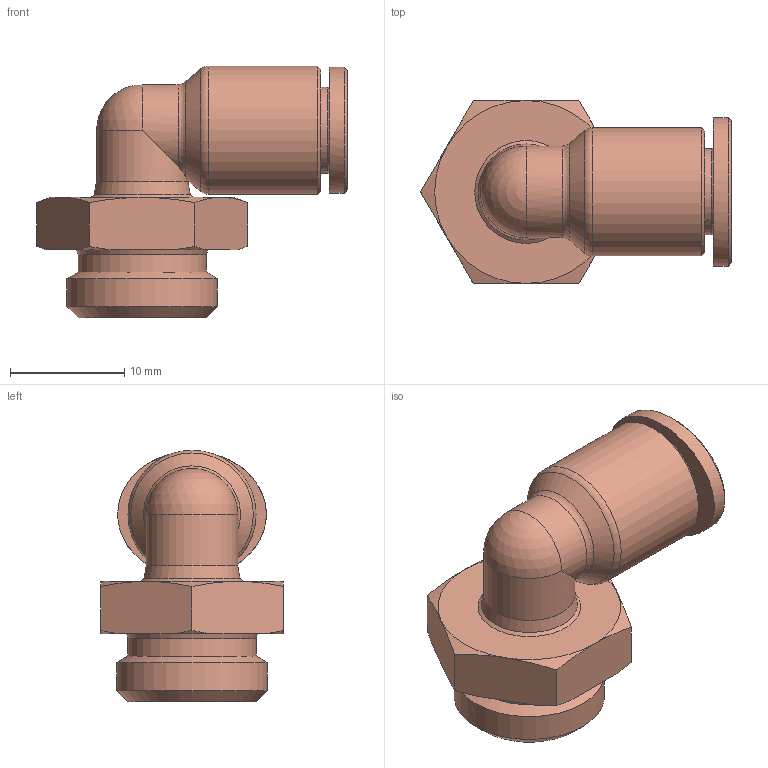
import cadquery as cq
import math

thread_radius = 6.58
lead_chamfer = 0.98
thread_top_z = 3.42
neck_radius = 5.6
neck_bottom_z = 4.0
neck_flare_z = 5.53
neck_flare_radius = 5.77

hex_bottom_z = 5.95
hex_top_z = 10.53
hex_across_flats = 16.0
hex_corner_radius = hex_across_flats / 2 / math.cos(math.radians(30))
hex_top_circle_radius = hex_across_flats / 2
hex_bottom_circle_radius = 8.45
hex_chamfer_angle = math.radians(20)
envelope_margin = 1.0

overall_height = 22.0
body_radius = 5.6
elbow_radius = 4.0
arm_axis_z = overall_height - body_radius
stem_cone_top_z = 11.9
stem_cone_bottom_z = 10.76
stem_cone_radius = 4.2
stem_foot_radius = 4.5

shoulder_start_x = 3.5
shoulder_angle = math.radians(40)
shoulder_end_x = shoulder_start_x + (body_radius - elbow_radius) / math.tan(shoulder_angle)
shoulder_fillet = 1.0
body_end_x = 15.6
body_end_chamfer = 0.28

overall_length = 27.19
ring_end_x = overall_length - hex_corner_radius
ring_start_x = 16.38
ring_half_width = 6.5
ring_half_height = 5.5
ring_chamfer = 0.28
collar_radius = 3.77
collar_flare_start_x = 16.22
collar_flare_radius = 3.86


def make_threaded_end():
    """Thread blank with a lead-in chamfer, a narrower neck and a flare under the nut."""
    profile = (
        cq.Workplane("XZ")
        .lineTo(thread_radius - lead_chamfer, 0)
        .lineTo(thread_radius, lead_chamfer)
        .lineTo(thread_radius, thread_top_z)
        .lineTo(neck_radius, neck_bottom_z)
        .lineTo(neck_radius, neck_flare_z)
        .lineTo(neck_flare_radius, hex_bottom_z)
        .lineTo(0, hex_bottom_z)
        .close()
    )
    return profile.revolve(360, (0, 0), (0, 1))


def make_hex_nut():
    """Hexagon with its corners trimmed by a cone at the top and at the bottom."""
    height = hex_top_z - hex_bottom_z
    hexagon = (
        cq.Workplane("XY")
        .workplane(offset=hex_bottom_z)
        .polygon(6, 2 * hex_corner_radius)
        .extrude(height)
    )
    envelope_radius = hex_corner_radius + envelope_margin
    slope = math.tan(hex_chamfer_angle)
    bottom_rise = (envelope_radius - hex_bottom_circle_radius) * slope
    top_drop = (envelope_radius - hex_top_circle_radius) * slope
    envelope = (
        cq.Workplane("XZ")
        .moveTo(0, hex_bottom_z)
        .lineTo(hex_bottom_circle_radius, hex_bottom_z)
        .lineTo(envelope_radius, hex_bottom_z + bottom_rise)
        .lineTo(envelope_radius, hex_top_z - top_drop)
        .lineTo(hex_top_circle_radius, hex_top_z)
        .lineTo(0, hex_top_z)
        .close()
        .revolve(360, (0, 0), (0, 1))
    )
    return hexagon.intersect(envelope)


def make_stem():
    """Vertical stem that widens to a flared foot on the nut."""
    profile = (
        cq.Workplane("XZ")
        .moveTo(0, hex_top_z)
        .lineTo(stem_foot_radius, hex_top_z)
        .lineTo(stem_cone_radius, stem_cone_bottom_z)
        .lineTo(elbow_radius, stem_cone_top_z)
        .lineTo(elbow_radius, arm_axis_z)
        .lineTo(0, arm_axis_z)
        .close()
    )
    return profile.revolve(360, (0, 0), (0, 1))


def make_elbow_ball():
    """Ball that rounds the outside corner where the stem meets the arm."""
    return cq.Workplane("XY").sphere(elbow_radius).translate((0, 0, arm_axis_z))


def make_socket():
    """Horizontal arm, rounded conical shoulder, tube socket and a collar flaring at the ring."""
    tangent = shoulder_fillet * math.tan(shoulder_angle / 2)
    tangent_x = tangent * math.cos(shoulder_angle)
    tangent_r = tangent * math.sin(shoulder_angle)
    mid_x = shoulder_fillet * math.sin(shoulder_angle / 2)
    mid_r = shoulder_fillet * (1 - math.cos(shoulder_angle / 2))
    inner_start_x = shoulder_start_x - tangent
    outer_end_x = shoulder_end_x + tangent

    profile = (
        cq.Workplane("XZ", origin=(0, 0, arm_axis_z))
        .lineTo(0, elbow_radius)
        .lineTo(inner_start_x, elbow_radius)
        .threePointArc(
            (inner_start_x + mid_x, elbow_radius + mid_r),
            (shoulder_start_x + tangent_x, elbow_radius + tangent_r),
        )
        .lineTo(shoulder_end_x - tangent_x, body_radius - tangent_r)
        .threePointArc(
            (outer_end_x - mid_x, body_radius - mid_r),
            (outer_end_x, body_radius),
        )
        .lineTo(body_end_x - body_end_chamfer, body_radius)
        .lineTo(body_end_x, body_radius - body_end_chamfer)
        .lineTo(body_end_x, collar_radius)
        .lineTo(collar_flare_start_x, collar_radius)
        .lineTo(ring_start_x, collar_flare_radius)
        .lineTo(ring_start_x, 0)
        .close()
    )
    return profile.revolve(360, (0, 0), (1, 0))


def make_release_ring():
    """Oval disc, wider along Y than it is tall, with a chamfered outer rim."""
    return (
        cq.Workplane("YZ", origin=(ring_start_x, 0, arm_axis_z))
        .ellipse(ring_half_width, ring_half_height)
        .extrude(ring_end_x - ring_start_x)
        .faces(">X")
        .chamfer(ring_chamfer)
    )


result = (
    make_threaded_end()
    .union(make_hex_nut())
    .union(make_stem())
    .union(make_elbow_ball())
    .union(make_socket())
    .union(make_release_ring())
)